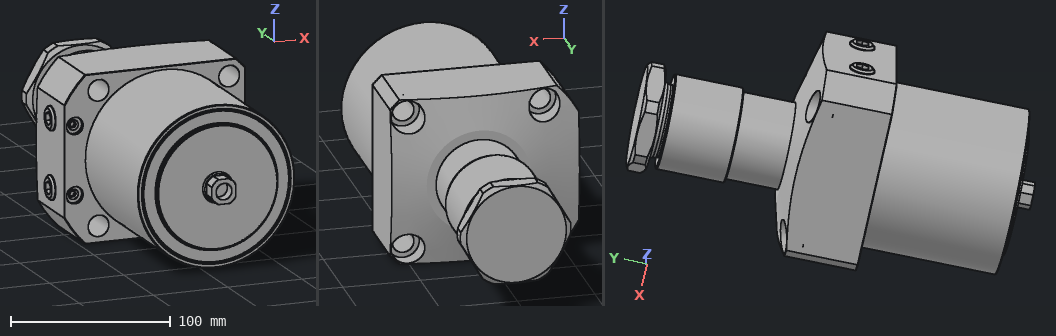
import cadquery as cq
import math


flange_left = 67.0
flange_right = 55.0
flange_half_height = 55.03
flange_depth = 56.5
left_corner_radius = 76.5
right_corner_chamfer = 6.0
front_edge_chamfer = 0.38
back_cone_angle = 15
back_cone_start_radius = 34.0
bolt_hole_diameter = 14.0
bolt_hole_offset = 44.0
counterbore_diameter = 20.7
counterbore_floor = 36.2

barrel_radius = 53.0
barrel_length = 88.0
barrel_edge_chamfer = 0.5
neck_radius = 27.8
neck_length = 33.6
sleeve_radius = 30.4
sleeve_length = 44.0
sleeve_chamfer = 0.8

ring_radius = 49.5
ring_depth = 10.0
joint_chamfer = 0.8

piston_radius = 41.2
piston_rise = 2.5
piston_shoulder_height = 1.3
piston_shoulder_chamfer = 0.5
piston_face_radius = 40.0
rod_radius = 8.9
rod_length = 10.4
rod_flat_offset = 8.0
rod_base_radius = 10.0
rod_base_tip_radius = 9.4
rod_base_length = 1.5
rod_hole_radius = 5.3
rod_hole_depth = 7.5

nut_across_flats = 65.3
nut_corner_radius = 35.7
nut_thickness = 12.0
nut_chamfer_height = 2.0
nut_face_radius = 32.1
spigot_radius = 24.0
spigot_tip_radius = 23.3
spigot_length = 6.0
spigot_land = 2.8
spigot_taper = 2.0

plug_height = 22.5
front_plug_x = -60.0
front_plug_radius = 5.5
front_plug_recess = 2.5
front_plug_length = 7.5
front_socket_across_flats = 3.8
front_socket_depth = 2.5
front_countersink_radius = 3.3
front_countersink_depth = 1.0
side_plug_y = 22.3
side_plug_radius = 7.97
side_plug_rise = 2.0
side_plug_insertion = 7.5
side_plug_chamfer = 1.5
side_socket_across_flats = 7.5
side_socket_depth = 3.8

barrel_front = -barrel_length
ring_back = barrel_front + ring_depth
piston_front = barrel_front - piston_rise
rod_tip = piston_front - rod_length
neck_back = flange_depth + neck_length
sleeve_back = neck_back + sleeve_length
nut_front = sleeve_back + spigot_length
nut_back = nut_front + nut_thickness
plug_heights = (plug_height, -plug_height)


def turned(points):
    """Solid of revolution about the Y axis from (radius, y) points."""
    return cq.Workplane("XY").polyline(points).close().revolve(360, (0, 0, 0), (0, 1, 0))


def axial_cylinder(radius, y_start, y_end, x=0, z=0):
    """Cylinder along Y between two Y positions."""
    length = y_end - y_start
    start = cq.Vector(x, y_start, z)
    return cq.Workplane(cq.Solid.makeCylinder(radius, length, start, cq.Vector(0, 1, 0)))


def hex_prism(across_flats, length, origin, direction, x_direction):
    """Hexagonal prism with a corner pointing along x_direction."""
    plane = cq.Plane(origin=origin, xDir=x_direction, normal=direction)
    across_corners = across_flats / math.cos(math.pi / 6)
    return cq.Workplane(plane).polygon(6, across_corners).extrude(length)


def make_flange():
    """Plate with arc corners on the left, cut corners on the right and a turned conical back.

    The front edges are chamfered and the bolt holes are counterbored from the back.
    """
    arc_x = math.sqrt(left_corner_radius**2 - flange_half_height**2)
    arc_z = math.sqrt(left_corner_radius**2 - flange_left**2)
    arc_angle = (math.atan2(flange_half_height, arc_x) + math.atan2(arc_z, flange_left)) / 2
    mid_x = left_corner_radius * math.cos(arc_angle)
    mid_z = left_corner_radius * math.sin(arc_angle)
    chamfer_x = flange_right - right_corner_chamfer
    chamfer_z = flange_half_height - right_corner_chamfer
    plate = (
        cq.Workplane("XZ")
        .moveTo(chamfer_x, flange_half_height)
        .lineTo(-arc_x, flange_half_height)
        .threePointArc((-mid_x, mid_z), (-flange_left, arc_z))
        .lineTo(-flange_left, -arc_z)
        .threePointArc((-mid_x, -mid_z), (-arc_x, -flange_half_height))
        .lineTo(chamfer_x, -flange_half_height)
        .lineTo(flange_right, -chamfer_z)
        .lineTo(flange_right, chamfer_z)
        .close()
        .extrude(-flange_depth)
        .faces("<Y")
        .chamfer(front_edge_chamfer)
    )
    turning_radius = left_corner_radius + 2.5
    cone_drop = (turning_radius - back_cone_start_radius) * math.tan(math.radians(back_cone_angle))
    turned_envelope = turned([
        (0, 0),
        (turning_radius, 0),
        (turning_radius, flange_depth - cone_drop),
        (back_cone_start_radius, flange_depth),
        (0, flange_depth),
    ])
    flange = plate.intersect(turned_envelope)
    for x in (-bolt_hole_offset, bolt_hole_offset):
        for z in (-bolt_hole_offset, bolt_hole_offset):
            hole = axial_cylinder(bolt_hole_diameter / 2, 0, flange_depth, x, z)
            counterbore = axial_cylinder(counterbore_diameter / 2, counterbore_floor, flange_depth, x, z)
            flange = flange.cut(hole).cut(counterbore)
    return flange


def make_housing():
    """Flange, barrel, neck and sleeve in one piece, with seats for the ring and the plugs."""
    barrel = axial_cylinder(barrel_radius, barrel_front, 0).faces("<Y").chamfer(barrel_edge_chamfer)
    neck = axial_cylinder(neck_radius, flange_depth, neck_back)
    sleeve = axial_cylinder(sleeve_radius, neck_back, sleeve_back).edges().chamfer(sleeve_chamfer)
    ring_seat = turned([
        (0, barrel_front),
        (ring_radius + joint_chamfer, barrel_front),
        (ring_radius, barrel_front + joint_chamfer),
        (ring_radius, ring_back),
        (0, ring_back),
    ])
    housing = make_flange().union(barrel).union(neck).union(sleeve).cut(ring_seat)
    front_seat_depth = front_plug_recess + front_plug_length
    for z in plug_heights:
        housing = housing.cut(axial_cylinder(front_plug_radius, 0, front_seat_depth, front_plug_x, z))
        housing = housing.cut(side_plug_blank(z))
    return housing


def make_guide_ring():
    """Ring flush with the barrel end, chamfered where it meets the barrel."""
    return turned([
        (piston_radius, barrel_front),
        (ring_radius - joint_chamfer, barrel_front),
        (ring_radius, barrel_front + joint_chamfer),
        (ring_radius, ring_back),
        (piston_radius, ring_back),
    ])


def make_piston():
    """Stepped piston disc with a hollow rod end that carries four wrench flats."""
    shoulder_front = barrel_front - piston_shoulder_height
    disc = turned([
        (0, ring_back),
        (piston_radius, ring_back),
        (piston_radius, shoulder_front + piston_shoulder_chamfer),
        (piston_radius - piston_shoulder_chamfer, shoulder_front),
        (piston_face_radius, shoulder_front),
        (piston_face_radius, piston_front),
        (0, piston_front),
    ])
    base_front = piston_front - rod_base_length
    base = turned([
        (0, piston_front),
        (rod_base_radius, piston_front),
        (rod_base_tip_radius, base_front),
        (0, base_front),
    ])
    flats_length = base_front - rod_tip
    flats = cq.Workplane("XY").box(2 * rod_flat_offset, flats_length, 2 * rod_flat_offset)
    flats = flats.translate((0, (rod_tip + base_front) / 2, 0))
    rod_end = axial_cylinder(rod_radius, rod_tip, base_front).intersect(flats)
    hole = axial_cylinder(rod_hole_radius, rod_tip, rod_tip + rod_hole_depth)
    return disc.union(base).union(rod_end).cut(hole)


def make_nut():
    """Hex nut with turned corners, chamfered on both faces, and its spigot."""
    hexagon = hex_prism(nut_across_flats, nut_thickness, (0, nut_front, 0), (0, 1, 0), (1, 0, 0))
    turned_envelope = turned([
        (0, nut_front),
        (nut_face_radius, nut_front),
        (nut_corner_radius, nut_front + nut_chamfer_height),
        (nut_corner_radius, nut_back - nut_chamfer_height),
        (nut_face_radius, nut_back),
        (0, nut_back),
    ])
    spigot = turned([
        (0, nut_front),
        (spigot_radius, nut_front),
        (spigot_radius, nut_front - spigot_land),
        (spigot_tip_radius, nut_front - spigot_land - spigot_taper),
        (spigot_tip_radius, sleeve_back),
        (0, sleeve_back),
    ])
    return hexagon.intersect(turned_envelope).union(spigot)


def make_front_plug(z):
    """Set screw sunk below the flange front, with a countersunk hex socket."""
    face_y = front_plug_recess
    plug = axial_cylinder(front_plug_radius, face_y, face_y + front_plug_length, front_plug_x, z)
    socket = hex_prism(
        front_socket_across_flats,
        front_socket_depth + front_countersink_depth,
        (front_plug_x, face_y, z),
        (0, 1, 0),
        (1, 0, 0),
    )
    countersink = cq.Workplane(cq.Solid.makeCone(
        front_countersink_radius,
        front_socket_across_flats / 2,
        front_countersink_depth,
        cq.Vector(front_plug_x, face_y, z),
        cq.Vector(0, 1, 0),
    ))
    return plug.cut(socket).cut(countersink)


def side_plug_blank(z):
    """Plain cylinder along X that a side plug and its seat share."""
    start = cq.Vector(-flange_left - side_plug_rise, side_plug_y, z)
    length = side_plug_rise + side_plug_insertion
    return cq.Workplane(cq.Solid.makeCylinder(side_plug_radius, length, start, cq.Vector(1, 0, 0)))


def make_side_plug(z):
    """Plug standing proud of the left flange face, chamfered, with a hex socket."""
    plug = side_plug_blank(z).faces("<X").chamfer(side_plug_chamfer)
    socket_start = (-flange_left - side_plug_rise, side_plug_y, z)
    socket = hex_prism(side_socket_across_flats, side_socket_depth, socket_start, (1, 0, 0), (0, 0, 1))
    return plug.cut(socket)


housing = make_housing()
guide_ring = make_guide_ring()
piston = make_piston()
nut = make_nut()
front_plugs = [make_front_plug(z) for z in plug_heights]
side_plugs = [make_side_plug(z) for z in plug_heights]

bodies = [housing, guide_ring, piston, nut, *front_plugs, *side_plugs]
result = cq.Compound.makeCompound([body.solids().val() for body in bodies])